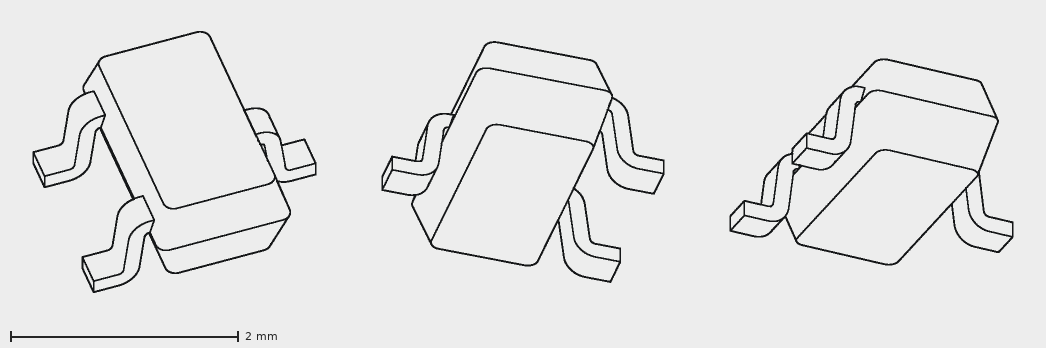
import cadquery as cq
import math

body_length = 2.1
body_width = 1.25
body_bottom = 0.1
parting_height = 0.6
body_top = 1.0
draft_angle = 15
corner_radius = 0.1

lead_span = 2.3
lead_width = 0.3
lead_thickness = 0.15
lead_pitch = 1.3
lead_embed = 0.2
leg_tilt = 7
inner_bend_radius = 0.05
outer_bend_radius = inner_bend_radius + lead_thickness


def body_half(height):
    """Half of the body, tapering away from the parting plane."""
    half = (
        cq.Workplane("XY")
        .rect(body_length, body_width)
        .extrude(height, taper=draft_angle)
    )
    return half.edges("not(#Z or |X or |Y)").fillet(corner_radius)


def make_body():
    upper = body_half(body_top - parting_height)
    lower = body_half(parting_height - body_bottom).mirror("XY")
    return upper.union(lower).translate((0, 0, parting_height))


def polar(center, radius, degrees):
    angle = math.radians(degrees)
    return (
        center[0] + radius * math.cos(angle),
        center[1] + radius * math.sin(angle),
    )


def make_lead():
    """Lead on the +Y side, centred on X = 0."""
    tilt = math.radians(leg_tilt)
    tip = lead_span / 2
    root = body_width / 2 - lead_embed
    lead_top = parting_height + lead_thickness

    shoulder = (body_width / 2, parting_height - inner_bend_radius)
    ankle_height = outer_bend_radius
    bend_rise = shoulder[1] - ankle_height
    bend_reach = inner_bend_radius + outer_bend_radius
    bend_offset = (bend_reach + bend_rise * math.sin(tilt)) / math.cos(tilt)
    ankle = (shoulder[0] + bend_offset, ankle_height)

    shoulder_leg = leg_tilt
    shoulder_mid = (leg_tilt + 90) / 2
    ankle_leg = shoulder_leg + 180
    ankle_mid = shoulder_mid + 180

    profile = (
        cq.Workplane("YZ")
        .moveTo(root, lead_top)
        .lineTo(shoulder[0], lead_top)
        .threePointArc(
            polar(shoulder, outer_bend_radius, shoulder_mid),
            polar(shoulder, outer_bend_radius, shoulder_leg),
        )
        .lineTo(*polar(ankle, inner_bend_radius, ankle_leg))
        .threePointArc(
            polar(ankle, inner_bend_radius, ankle_mid),
            (ankle[0], lead_thickness),
        )
        .lineTo(tip, lead_thickness)
        .lineTo(tip, 0)
        .lineTo(ankle[0], 0)
        .threePointArc(
            polar(ankle, outer_bend_radius, ankle_mid),
            polar(ankle, outer_bend_radius, ankle_leg),
        )
        .lineTo(*polar(shoulder, inner_bend_radius, shoulder_leg))
        .threePointArc(
            polar(shoulder, inner_bend_radius, shoulder_mid),
            (shoulder[0], parting_height),
        )
        .lineTo(root, parting_height)
        .close()
    )
    return profile.extrude(lead_width / 2, both=True)


back_lead = make_lead()
front_lead = back_lead.mirror("XZ")

result = make_body().union(back_lead)
for side in (-1, 1):
    result = result.union(front_lead.translate((side * lead_pitch / 2, 0, 0)))